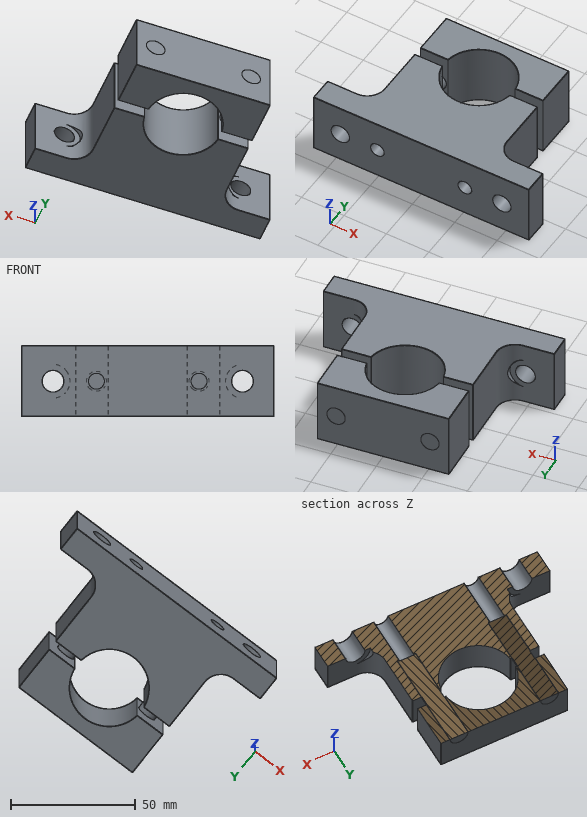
import cadquery as cq

foot_length = 101.6
foot_depth = 11.0
thickness = 28.5
block_width = 57.9
corner_radius = 8.1
edge_chamfer = 0.2

total_depth = 66.6
bore_diameter = 31.9
bore_y = 44.5
clamp_gap = 4.2
base_top_y = bore_y - clamp_gap / 2
cap_bottom_y = bore_y + clamp_gap / 2

screw_diameter = 8.0
screw_x = 20.6
screw_engagement = 20.3
screw_tip_y = base_top_y - screw_engagement
pilot_diameter = 6.4

mount_x = 38.1
mount_diameter = 8.6
spotface_diameter = 13.6


def y_cylinder_pair(x_offset, diameter, y_start, y_end):
    """Mirrored pair of cylinders along Y at mid thickness."""
    return (
        cq.Workplane("XZ", origin=(0, y_start, 0))
        .pushPoints([(-x_offset, 0), (x_offset, 0)])
        .circle(diameter / 2)
        .extrude(y_start - y_end)
    )


def block(width, y_start, y_end):
    """Box centred on X and Z between two Y positions."""
    depth = y_end - y_start
    return cq.Workplane("XY", origin=(0, y_start + depth / 2, 0)).box(width, depth, thickness)


def shaft_bore():
    return cq.Workplane("XY", origin=(0, bore_y, 0)).circle(bore_diameter / 2).extrude(thickness / 2, both=True)


def fillet_foot_corners(body):
    """Round the two inner corners between the foot and the block."""
    for side in (-1, 1):
        corner = cq.selectors.NearestToPointSelector((side * block_width / 2, foot_depth, 0))
        body = body.edges("|Z").edges(corner).fillet(corner_radius)
    return body


def make_base():
    body = block(foot_length, 0, foot_depth).union(block(block_width, 0, base_top_y))
    body = fillet_foot_corners(body).cut(shaft_bore())

    body = body.faces("<Y or >Y or <X or >X").edges("|Z").chamfer(edge_chamfer)
    body = body.faces("<Z or >Z").chamfer(edge_chamfer)

    body = body.cut(y_cylinder_pair(mount_x, mount_diameter, 0, foot_depth))
    body = body.cut(y_cylinder_pair(mount_x, spotface_diameter, foot_depth, base_top_y))

    body = body.cut(y_cylinder_pair(screw_x, pilot_diameter, 0, screw_tip_y))
    return body.cut(y_cylinder_pair(screw_x, screw_diameter, screw_tip_y, base_top_y))


def make_cap():
    body = block(block_width, cap_bottom_y, total_depth).cut(shaft_bore())

    body = body.faces(">Y").edges("|Z").chamfer(edge_chamfer)
    body = body.faces("<Z or >Z").chamfer(edge_chamfer)

    return body.cut(y_cylinder_pair(screw_x, screw_diameter, cap_bottom_y, total_depth))


def make_screws():
    return y_cylinder_pair(screw_x, screw_diameter, screw_tip_y, total_depth)


base = make_base()
cap = make_cap()
screws = make_screws()

result = cq.Compound.makeCompound(
    [base.solids().val(), cap.solids().val(), *screws.solids().vals()]
)